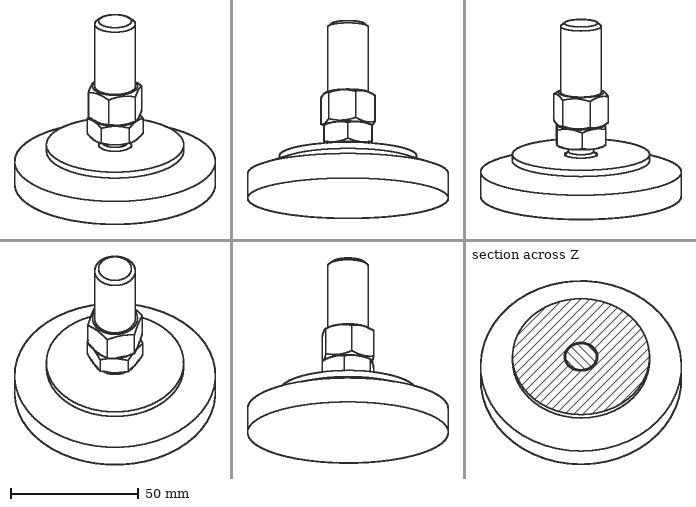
import cadquery as cq
import math

pad_diameter = 79.0
pad_rim_height = 9.9
pad_top_diameter = 54.0
pad_cone_top = 14.45
pad_height = 17.0
socket_diameter = 12.95

neck_diameter = 9.9
flare_top = 18.0
flare_height = (socket_diameter - neck_diameter) / 2
foot_bottom = flare_top - flare_height
neck_top = 21.0
hex_height = 8.05
stud_diameter = 16.0
tip_diameter = 12.95
tip_chamfer_height = 1.3
total_height = 70.0

across_flats = 19.0
corner_diameter = across_flats / math.cos(math.radians(30))
corner_chamfer_angle = 30.0
spindle_hex_turn = 14.0
spindle_hex_face_diameter = 18.95

nut_bottom = neck_top + hex_height
nut_height = 12.95
nut_turn = 30.0
nut_face_diameter = 17.7


def revolve_profile(points):
    """Revolve an (r, z) outline about the Z axis."""
    return cq.Workplane("XZ").polyline(points).close().revolve(360, (0, 0), (0, 1))


def chamfered_hexagon(bottom, height, face_diameter, turn):
    """Hexagonal prism with its corners turned off conically at both ends."""
    prism = cq.Workplane("XY").polygon(6, corner_diameter).extrude(height)
    face_radius = face_diameter / 2
    corner_radius = corner_diameter / 2
    drop = (corner_radius - face_radius) * math.tan(math.radians(corner_chamfer_angle))
    turned_envelope = revolve_profile([
        (0, 0),
        (face_radius, 0),
        (corner_radius, drop),
        (corner_radius, height - drop),
        (face_radius, height),
        (0, height),
    ])
    hexagon = prism.intersect(turned_envelope)
    return hexagon.rotate((0, 0, 0), (0, 0, 1), turn).translate((0, 0, bottom))


def make_pad():
    """Round pad with a conical shoulder, a raised flat top and a shallow spindle socket."""
    return revolve_profile([
        (0, 0),
        (pad_diameter / 2, 0),
        (pad_diameter / 2, pad_rim_height),
        (pad_top_diameter / 2, pad_cone_top),
        (pad_top_diameter / 2, pad_height),
        (socket_diameter / 2, pad_height),
        (socket_diameter / 2, foot_bottom),
        (0, foot_bottom),
    ])


def make_spindle():
    """Turned spindle standing in the pad socket, with its wrench hexagon."""
    neck_radius = neck_diameter / 2
    stud_radius = stud_diameter / 2
    shaft = revolve_profile([
        (0, foot_bottom),
        (socket_diameter / 2, foot_bottom),
        (neck_radius, flare_top),
        (neck_radius, neck_top),
        (stud_radius, neck_top),
        (stud_radius, total_height - tip_chamfer_height),
        (tip_diameter / 2, total_height),
        (0, total_height),
    ])
    return shaft.union(
        chamfered_hexagon(neck_top, hex_height, spindle_hex_face_diameter, spindle_hex_turn)
    )


def make_lock_nut():
    """Hexagonal nut with a bore that fits the stud."""
    blank = chamfered_hexagon(nut_bottom, nut_height, nut_face_diameter, nut_turn)
    bore = cq.Workplane("XY").workplane(offset=nut_bottom).circle(stud_diameter / 2).extrude(nut_height)
    return blank.cut(bore)


pad = make_pad()
spindle = make_spindle()
lock_nut = make_lock_nut()

result = cq.Compound.makeCompound([pad.val(), spindle.val(), lock_nut.val()])